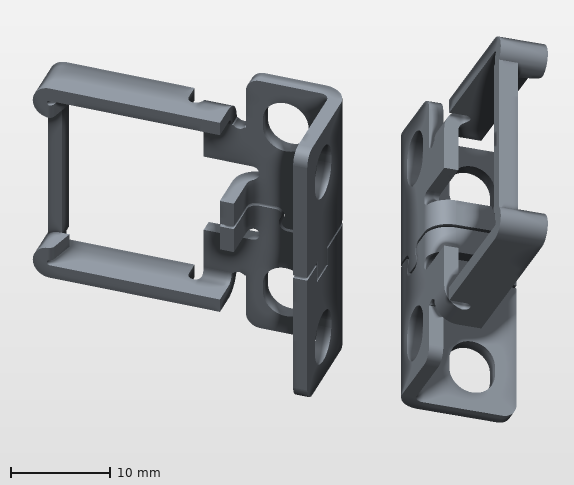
import cadquery as cq
import math


length = 32.0
depth = 12.5
height = 30.0

sheet = 1.5
bend_inner = 1.0
bend_outer = bend_inner + sheet
relief_radius = sheet / 2
corner_radius = sheet

plate_left = 21.5
root_left = 17.0
root_bottom = 4.45

arm_top = 11.5
arm_depth = 5.02
arm_right = plate_left - 2 * relief_radius
plate_relief_bottom = 8.7
arm_notch_center = root_left - relief_radius

hem_outer = 1.8
hem_inner = hem_outer - sheet
hem_x = hem_outer
hem_z = arm_top - hem_outer
hem_tip_front_x = 2.05
hem_tip_back_x = 2.85
hem_tip_radius = 0.58

bar_left = 0.55
bar_depth = 2.0
bar_half_height = 8.48

tab_left = 20.45
tab_depth = 6.35
tab_bend_end = tab_left + bend_outer
tab_slot_z = root_bottom - relief_radius

hole_width = 4.85
hole_height = 5.82
hole_z = 10.0
plate_hole_x = 25.75
flange_hole_y = -7.78

gap = 0.32
plate_key_x = 26.6
key_radius = 0.77
neck_offset = 1.9
bulge_offset = 0.65
flange_key_y = -8.0
flange_key_width = 2.98
flange_key_depth = 2.05


def box(x, y, z):
    """Box spanning the (low, high) pairs given for each axis."""
    size = (x[1] - x[0], y[1] - y[0], z[1] - z[0])
    return cq.Workplane("XY").box(*size, centered=False).translate((x[0], y[0], z[0]))


def bent_section(plane, corner, leg_u, leg_v):
    """L-shaped sheet section: outer corner point and signed leg lengths."""
    u, v = corner
    side_u = math.copysign(1, leg_u)
    side_v = math.copysign(1, leg_v)
    tangent_u = u + side_u * bend_outer
    tangent_v = v + side_v * bend_outer
    inner_u = u + side_u * sheet
    inner_v = v + side_v * sheet
    return (
        plane.moveTo(u + leg_u, v)
        .lineTo(tangent_u, v)
        .tangentArcPoint((u, tangent_v), relative=False)
        .lineTo(u, v + leg_v)
        .lineTo(inner_u, v + leg_v)
        .lineTo(inner_u, tangent_v)
        .tangentArcPoint((tangent_u, inner_v), relative=False)
        .lineTo(u + leg_u, inner_v)
        .close()
    )


def panel():
    """Upper half of the plate and flange, with the root of the arm."""
    half = height / 2
    angle = bent_section(cq.Workplane("XY"), (length, 0), plate_left - length, -depth).extrude(half)
    angle = angle.edges("|Y and <X and >Z").fillet(corner_radius)
    angle = angle.edges("|X and <Y and >Z").fillet(corner_radius)
    root = box((root_left, plate_left), (-sheet, 0), (root_bottom, arm_top - bend_outer))
    tab_window = box((plate_left, tab_bend_end), (-sheet, 0), (0, tab_slot_z))
    return angle.union(root).cut(tab_window)


def tab():
    """Upper half of the folded tab, reaching up to the middle of its relief slot."""
    overlap = sheet
    section = bent_section(cq.Workplane("XY"), (tab_left, 0), bend_outer + overlap, -tab_depth)
    return section.extrude(tab_slot_z)


def tab_relief():
    """Round-ended slot between the tab and the arm root."""
    end_x = tab_bend_end - relief_radius
    straight = box((root_left, end_x), (-depth, 0), (tab_slot_z - relief_radius, root_bottom))
    rounded = cq.Workplane("XZ").center(end_x, tab_slot_z).circle(relief_radius).extrude(depth)
    return straight.union(rounded)


def plate_relief():
    """Round-bottomed slot between the arm and the plate edge."""
    center_x = plate_left - relief_radius
    center_z = plate_relief_bottom + relief_radius
    straight = box((arm_right, plate_left), (-depth, 0), (center_z, height / 2))
    rounded = cq.Workplane("XZ").center(center_x, center_z).circle(relief_radius).extrude(depth)
    return straight.union(rounded)


def arm():
    """Flat arm from the hem to the plate relief, bent onto the arm root."""
    flat = box((hem_x, arm_notch_center), (-arm_depth, 0), (arm_top - sheet, arm_top))
    overlap = sheet
    bent = bent_section(
        cq.Workplane("YZ", origin=(arm_notch_center, 0, 0)),
        (0, arm_top), -arm_depth, -bend_outer - overlap,
    ).extrude(arm_right - arm_notch_center)
    return flat.union(bent)


def arm_notch():
    """Round-ended notch in the back edge of the arm, at the end of its bend."""
    center_y = relief_radius - bend_outer
    left_x = arm_notch_center - relief_radius
    straight = box((left_x, root_left), (center_y, 0), (root_bottom, arm_top))
    rounded = (
        cq.Workplane("XY", origin=(arm_notch_center, center_y, root_bottom))
        .circle(relief_radius).extrude(arm_top - root_bottom)
    )
    return straight.union(rounded)


def hem():
    """Arm end curled back on itself, with a tapered lip beyond the curl."""
    curl = (
        cq.Workplane("XZ", origin=(hem_x, 0, hem_z))
        .circle(hem_outer).circle(hem_inner).extrude(arm_depth)
    )
    curl = curl.intersect(box((0, hem_x), (-arm_depth, 0), (hem_z - hem_outer, arm_top)))
    lip_bottom = hem_z - hem_outer
    lip = box((hem_x, hem_tip_back_x), (-arm_depth, 0), (lip_bottom, lip_bottom + sheet))
    trim = (
        cq.Workplane("XY", origin=(0, 0, lip_bottom))
        .polyline([
            (0, 0), (hem_x, 0), (hem_x, -bar_depth), (hem_tip_back_x, -bar_depth),
            (hem_tip_front_x, -arm_depth), (0, -arm_depth),
        ])
        .close().extrude(hem_outer)
    )
    trim = trim.edges("|Z").edges("<Y").edges(">X").fillet(hem_tip_radius)
    upper = box((0, hem_x), (-arm_depth, 0), (hem_z, arm_top))
    return curl.union(lip).intersect(trim.union(upper))


def mounting_holes():
    """Oblong holes through the plate and the flange of the upper half."""
    plate_hole = (
        cq.Workplane("XZ", origin=(plate_hole_x, 0, hole_z))
        .slot2D(hole_height, hole_width, 90).extrude(sheet)
    )
    flange_hole = (
        cq.Workplane("YZ", origin=(length - sheet, flange_hole_y, hole_z))
        .slot2D(hole_height, hole_width, 90).extrude(sheet)
    )
    return plate_hole.union(flange_hole)


def plate_key(clearance):
    """Bulbous key hanging from the plate's parting line, grown outwards by clearance."""
    neck_radius = key_radius - clearance
    bulge_radius = key_radius + clearance
    center_shift = bulge_offset - neck_offset
    center_drop = math.sqrt((2 * key_radius) ** 2 - center_shift ** 2)
    neck_z = -key_radius
    bulge_z = neck_z - center_drop
    share = neck_radius / (2 * key_radius)
    join_x = neck_offset + share * center_shift
    join_z = neck_z - share * center_drop
    top_z = neck_z + neck_radius
    bottom_z = bulge_z - bulge_radius
    waist = neck_offset - neck_radius
    belly = bulge_offset + bulge_radius
    return (
        cq.Workplane("XZ", origin=(plate_key_x, 0, 0))
        .moveTo(neck_offset, top_z)
        .threePointArc((waist, neck_z), (join_x, join_z))
        .threePointArc((belly, bulge_z), (bulge_offset, bottom_z))
        .lineTo(-bulge_offset, bottom_z)
        .threePointArc((-belly, bulge_z), (-join_x, join_z))
        .threePointArc((-waist, neck_z), (-neck_offset, top_z))
        .close().extrude(sheet)
    )


def flange_key(clearance):
    """Square key hanging from the flange's parting line, grown outwards by clearance."""
    half_width = flange_key_width / 2 + clearance
    return box(
        (length - sheet, length),
        (flange_key_y - half_width, flange_key_y + half_width),
        (-flange_key_depth - clearance, -clearance),
    )


def parting_gap():
    """Even gap that separates the halves and runs around both keys."""
    half_gap = gap / 2
    straight = box((tab_left, length), (-depth, 0), (-half_gap, half_gap))
    sockets = plate_key(half_gap).union(flange_key(half_gap))
    keys = plate_key(-half_gap).union(flange_key(-half_gap))
    return straight.union(sockets).cut(keys)


def crossbar():
    """Straight bar between the two hems."""
    return box((bar_left, bar_left + sheet), (-bar_depth, 0), (-bar_half_height, bar_half_height))


def upper_half():
    """Complete upper half, without the parting gap and the crossbar."""
    half = panel().union(tab()).union(arm())
    half = half.cut(tab_relief()).cut(plate_relief()).cut(arm_notch())
    return half.cut(mounting_holes()).union(hem())


upper = upper_half()
lower = upper.mirror("XY")
result = upper.union(lower).cut(parting_gap()).union(crossbar())